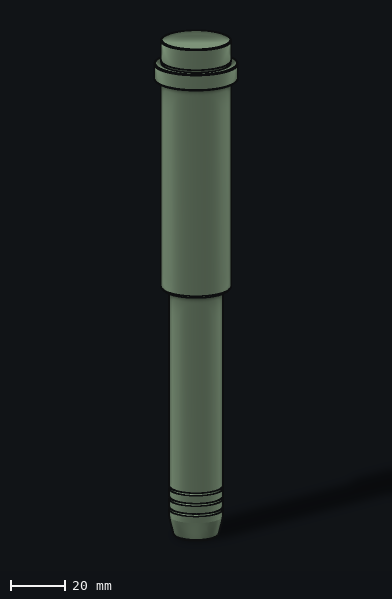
import cadquery as cq

total_length = 190.0
shank_length = 94.5

body_diameter = 26.0
collar_diameter = 31.0
shank_diameter = 20.0
tip_diameter = 16.7

collar_height = 6.3
head_height = 9.0
collar_chamfer = 0.4
relief_width = 1.0
relief_depth = 0.2

body_chamfer = 1.0
head_chamfer = 0.4

groove_count = 3
groove_pitch = 4.0
groove_radius = 0.48
lowest_groove_z = 10.5

lead_in_height = 7.5
lead_in_bulge = 0.11
tip_chamfer = 0.5

collar_top = total_length - head_height
collar_bottom = collar_top - collar_height


def cylinder(diameter, bottom, top):
    """Solid cylinder on the Z axis between two heights."""
    return cq.Workplane("XY").workplane(offset=bottom).circle(diameter / 2).extrude(top - bottom)


def round_groove(diameter, radius, height):
    """Torus to cut from a cylinder to leave a half-round groove."""
    return cq.Workplane(cq.Solid.makeTorus(diameter / 2, radius, cq.Vector(0, 0, height)))


def make_shank():
    """Shank with a gently curved lead-in and a chamfered tip."""
    shank_radius = shank_diameter / 2
    tip_radius = tip_diameter / 2
    lead_in_middle = (
        (shank_radius + tip_radius) / 2 + lead_in_bulge,
        (lead_in_height + tip_chamfer) / 2,
    )
    return (
        cq.Workplane("XZ")
        .moveTo(0, 0)
        .lineTo(tip_radius - tip_chamfer, 0)
        .lineTo(tip_radius, tip_chamfer)
        .threePointArc(lead_in_middle, (shank_radius, lead_in_height))
        .lineTo(shank_radius, shank_length)
        .lineTo(0, shank_length)
        .close()
        .revolve(360, (0, 0, 0), (0, 1, 0))
    )


body = cylinder(body_diameter, shank_length, total_length)
body = body.faces("<Z").chamfer(body_chamfer).faces(">Z").chamfer(head_chamfer)
collar = cylinder(collar_diameter, collar_bottom, collar_top).edges().chamfer(collar_chamfer)
result = make_shank().union(body).union(collar)

relief_top = collar_top + relief_width
relief_core = cylinder(body_diameter - 2 * relief_depth, collar_top, relief_top)
relief = cylinder(body_diameter, collar_top, relief_top).cut(relief_core)
result = result.cut(relief)

for index in range(groove_count):
    groove_z = lowest_groove_z + index * groove_pitch
    result = result.cut(round_groove(shank_diameter, groove_radius, groove_z))